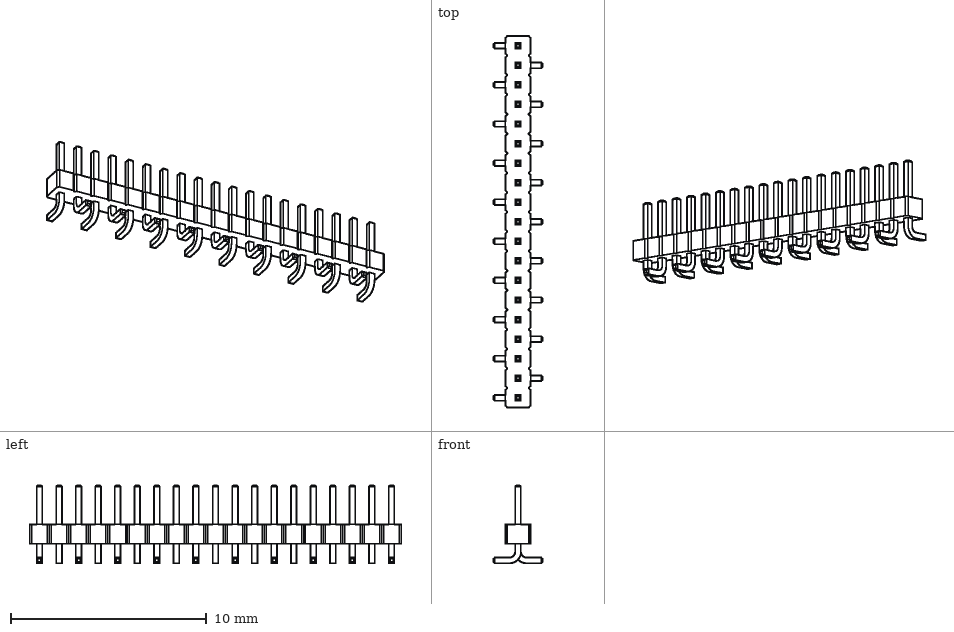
import cadquery as cq


pin_count = 19
body_length = 19.0
foot_span = 2.5
pitch = body_length / pin_count
total_height = 4 * pitch

body_width = 1.3
body_height = pitch
body_bottom = pitch
corner_chamfer = 0.1

wire = 0.3
tip_chamfer = 0.08
inner_bend_radius = 0.28
outer_bend_radius = inner_bend_radius + wire


def make_body():
    """One chamfered block per pin, joined end to end."""
    block = (
        cq.Workplane("XY")
        .box(body_width, pitch, body_height, centered=(True, True, False))
        .edges("|Z")
        .chamfer(corner_chamfer)
        .translate((0, 0, body_bottom))
    )
    body = block.translate((0, pin_position(0), 0))
    for index in range(1, pin_count):
        body = body.union(block.translate((0, pin_position(index), 0)))
    return body


def make_pin():
    """Upright wire bent into a foot toward -X, with both tips chamfered."""
    foot_tip = -foot_span / 2
    bend_center_x = wire / 2 - outer_bend_radius
    bend_center_z = outer_bend_radius
    profile = (
        cq.Workplane("XZ")
        .moveTo(foot_tip, 0)
        .lineTo(bend_center_x, 0)
        .radiusArc((wire / 2, bend_center_z), -outer_bend_radius)
        .lineTo(wire / 2, total_height)
        .lineTo(-wire / 2, total_height)
        .lineTo(-wire / 2, bend_center_z)
        .radiusArc((bend_center_x, wire), inner_bend_radius)
        .lineTo(foot_tip, wire)
        .close()
    )
    bent_wire = profile.extrude(wire / 2, both=True)
    top_chamfered = bent_wire.faces(">Z").chamfer(tip_chamfer)
    return top_chamfered.faces("<X").chamfer(tip_chamfer)


def pin_position(index):
    """Y position of a pin, counted from the -Y end of the row."""
    return (index - (pin_count - 1) / 2) * pitch


left_pin = make_pin()
right_pin = left_pin.rotate((0, 0, 0), (0, 0, 1), 180)

result = make_body()
for index in range(pin_count):
    pin = left_pin if index % 2 == 0 else right_pin
    result = result.union(pin.translate((0, pin_position(index), 0)))